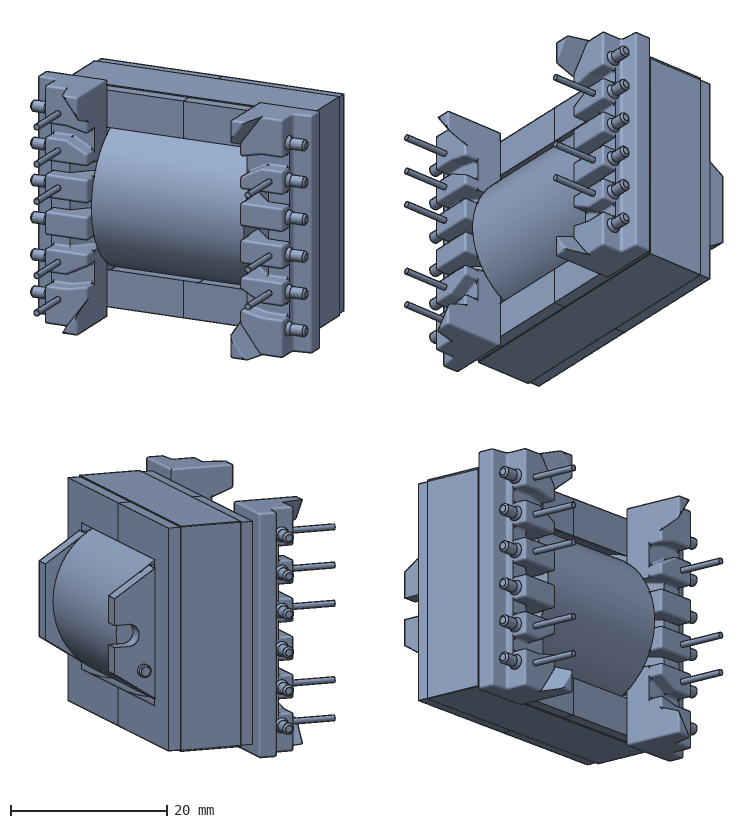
import cadquery as cq

CORE_HALF_LENGTH = 17.25
CORE_HALF_DEPTH = 5.8
CORE_HALF_WIDTH = 14.6
WINDOW_HALF_LENGTH = 12.5
WINDOW_RADIUS = 11.2
CENTRE_LEG_RADIUS = 4.95

TAPE_THICKNESS = 0.15
TAPE_HALF_DEPTH = 4.15

WINDING_HALF_LENGTH = 10.85
WINDING_RADIUS = 10.45
TUBE_RADIUS = CENTRE_LEG_RADIUS + 1.0

CHEEK_THICKNESS = 1.35
REAR_CHEEK_THICKNESS = 2.1
REAR_CHEEK_START = 5.93
REAR_CHEEK_END = 11.5
CHEEK_HALF_WIDTH = 8.55
REAR_CHEEK_END_HALF_WIDTH = 4.95
SLOT_RADIUS = 1.45
SLOT_CENTRE_Y = 9.55
STUD_Y = 7.53
STUD_Z = -4.7
STUD_RADIUS = 0.8
STUD_LENGTH = 0.85
STUD_CHAMFER = 0.2

RAIL_BACK_Y = -5.85
LIP_X = 19.5
LIP_EDGE_Y = -8.25
LIP_ROOT_Y = -8.58
LIP_ROOT_FILLET = 0.4
WALL_X = 16.93
FLOOR_Y = -9.55
BLOCK_Y = -11.62
RAIL_HALF_WIDTH = 16.01
EDGE_FILLET = 0.3
EDGE_TOLERANCE = 0.005

PITCH = 5.0
ROWS = 6
BLOCK_HALF_WIDTH = 1.55
KINK_X = 13.9
NOTCH_WIDTH = PITCH - 2 * BLOCK_HALF_WIDTH
END_BLOCK_SLANT = 0.65
NEXT_BLOCK_SLANT = 1.55
RAMP_END_Y = -6.25
RAMP_START_LEFT = 14.3
RAMP_START_RIGHT = 13.9
NOTCH_ROOT_FILLET = 0.27

FOOT_Y = -14.5
FOOT_BASE_X = 3.0
FOOT_BASE_Z = 4.0
FOOT_TIP_RATIO = 0.74

PIN_X = 15.0
PIN_RADIUS = 0.4
PIN_END_Y = -17.98
PIN_ROWS_LEFT = (0, 1, 2, 4, 5)
PIN_ROWS_RIGHT = (1, 3, 4)
POST_Y = -9.95
POST_RADIUS = 0.75
POST_CHAMFER = 0.27
POST_ROOT_RADIUS = 0.98
POST_ROOT_LENGTH = 0.55


def row_z(row):
    return ((ROWS - 1) / 2 - row) * PITCH


def box(x0, x1, y0, y1, z0, z1):
    return cq.Workplane("XY").box(x1 - x0, y1 - y0, z1 - z0, centered=False).translate((x0, y0, z0))


def rod_x(radius, x0, x1, y=0, z=0):
    return cq.Workplane("YZ", origin=(x0, y, z)).circle(radius).extrude(x1 - x0)


def prism_y(points_xz, y0, y1):
    """Prism along Y from y0 forward to y1, with its outline given as (x, z)."""
    return cq.Workplane("XZ", origin=(0, y0, 0)).polyline(points_xz).close().extrude(y0 - y1)


def make_core_half(side):
    """E-core half with a round centre leg; side is -1 or 1 along X."""
    body = box(0, CORE_HALF_LENGTH, -CORE_HALF_DEPTH, CORE_HALF_DEPTH, -CORE_HALF_WIDTH, CORE_HALF_WIDTH)
    window = rod_x(WINDOW_RADIUS, 0, WINDOW_HALF_LENGTH)
    leg = rod_x(CENTRE_LEG_RADIUS, 0, WINDOW_HALF_LENGTH)
    half = body.cut(window.cut(leg))
    return half if side > 0 else half.mirror("YZ")


def make_tape():
    inner_x, inner_z = CORE_HALF_LENGTH, CORE_HALF_WIDTH
    outer_x, outer_z = inner_x + TAPE_THICKNESS, inner_z + TAPE_THICKNESS
    y = TAPE_HALF_DEPTH
    outer = box(-outer_x, outer_x, -y, y, -outer_z, outer_z)
    return outer.cut(box(-inner_x, inner_x, -y, y, -inner_z, inner_z))


def make_winding():
    winding = rod_x(WINDING_RADIUS, -WINDING_HALF_LENGTH, WINDING_HALF_LENGTH)
    return winding.cut(rod_x(TUBE_RADIUS, -WINDING_HALF_LENGTH, WINDING_HALF_LENGTH))



def make_cheek():
    """Flange plate in the core window, widening behind the core to a trapezoid."""
    x1 = -WINDING_HALF_LENGTH
    w = CHEEK_HALF_WIDTH
    plate = box(x1 - CHEEK_THICKNESS, x1, RAIL_BACK_Y, REAR_CHEEK_START, -w, w)
    end_w = REAR_CHEEK_END_HALF_WIDTH
    outline = [(REAR_CHEEK_START, -w), (REAR_CHEEK_END, -end_w), (REAR_CHEEK_END, end_w), (REAR_CHEEK_START, w)]
    rear = (
        cq.Workplane("YZ", origin=(x1 - REAR_CHEEK_THICKNESS, 0, 0))
        .polyline(outline).close().extrude(REAR_CHEEK_THICKNESS)
    )
    return plate.union(rear)


def make_slot():
    """U-shaped slot through the rear cheek, open at its end."""
    x1 = -WINDING_HALF_LENGTH
    x0 = x1 - REAR_CHEEK_THICKNESS
    slot = box(x0, x1, SLOT_CENTRE_Y, REAR_CHEEK_END, -SLOT_RADIUS, SLOT_RADIUS)
    return slot.union(rod_x(SLOT_RADIUS, x0, x1, SLOT_CENTRE_Y))


def make_stud():
    x1 = -WINDING_HALF_LENGTH - REAR_CHEEK_THICKNESS
    return rod_x(STUD_RADIUS, x1 - STUD_LENGTH, x1, STUD_Y, STUD_Z).faces("<X").chamfer(STUD_CHAMFER)


def make_rail():
    """Bar with the outer lip, up to the bottom of the wire notches."""
    inner_x = -WINDING_HALF_LENGTH
    outline = [
        (inner_x, RAIL_BACK_Y), (-LIP_X, RAIL_BACK_Y), (-LIP_X, LIP_EDGE_Y),
        (-WALL_X, LIP_ROOT_Y), (-WALL_X, FLOOR_Y), (inner_x, FLOOR_Y),
    ]
    rail = (
        cq.Workplane("XY", origin=(0, 0, -RAIL_HALF_WIDTH))
        .polyline(outline).close().extrude(2 * RAIL_HALF_WIDTH)
    )
    root = cq.selectors.NearestToPointSelector((-WALL_X, LIP_ROOT_Y, 0))
    rail = rail.edges("|Z").edges(root).fillet(LIP_ROOT_FILLET)
    rail = rail.edges("|Z").edges("<X").fillet(EDGE_FILLET)
    end_edges = rail.faces("<Z or >Z").edges().filter(
        lambda edge: FLOOR_Y < edge.Center().y < RAIL_BACK_Y
    )
    return end_edges.fillet(EDGE_FILLET)


def make_ramp_notch(row, ramp_start, depth_above_floor):
    """Wire notch below a row, sloping down to the inner face of the rail."""
    inner_x = -WINDING_HALF_LENGTH
    top_y = FLOOR_Y - depth_above_floor
    outline = [
        (-WALL_X, FLOOR_Y), (-ramp_start, FLOOR_Y), (inner_x, RAMP_END_Y), (inner_x, top_y), (-WALL_X, top_y),
    ]
    top_z = row_z(row) - BLOCK_HALF_WIDTH
    return cq.Workplane("XY", origin=(0, 0, top_z)).polyline(outline).close().extrude(-NOTCH_WIDTH)


def make_end_notch():
    """Bottom of the funnel-shaped notch between the end block and the next one."""
    inner_x = -WINDING_HALF_LENGTH
    top_z = row_z(0) - BLOCK_HALF_WIDTH
    bottom_z = top_z - NOTCH_WIDTH
    outline = [
        (-WALL_X, top_z), (-KINK_X, top_z), (inner_x, top_z - END_BLOCK_SLANT),
        (inner_x, bottom_z - NEXT_BLOCK_SLANT), (-KINK_X, bottom_z), (-WALL_X, bottom_z),
    ]
    return prism_y(outline, FLOOR_Y, FLOOR_Y - NOTCH_ROOT_FILLET * 2)


def notch_bottom_limits():
    """Space just above the notch floors, clear of the rounded block corners."""
    x0 = -WALL_X + EDGE_FILLET
    x1 = -WINDING_HALF_LENGTH - EDGE_FILLET
    return box(x0, x1, FLOOR_Y - NOTCH_ROOT_FILLET, FLOOR_Y, 0, RAIL_HALF_WIDTH)


def make_end_notch_roots():
    """Concave strips along both sides of the end notch."""
    notch = make_end_notch()
    sides = notch.faces(">Y").edges().filter(lambda edge: -WALL_X < edge.Center().x < -WINDING_HALF_LENGTH)
    return notch.cut(sides.fillet(NOTCH_ROOT_FILLET)).intersect(notch_bottom_limits())


def make_middle_block(row):
    z = row_z(row)
    inner_x, w = -WINDING_HALF_LENGTH, BLOCK_HALF_WIDTH
    outline = [(-WALL_X, z - w), (-WALL_X, z + w), (inner_x, z + w), (inner_x, z - w)]
    return round_block(prism_y(outline, FLOOR_Y, BLOCK_Y))


def make_second_block():
    """Block next to the end block, its upper side slanting away from the notch."""
    z = row_z(1)
    inner_x, w = -WINDING_HALF_LENGTH, BLOCK_HALF_WIDTH
    outline = [
        (-WALL_X, z - w), (-WALL_X, z + w), (-KINK_X, z + w),
        (inner_x, z + w - NEXT_BLOCK_SLANT), (inner_x, z - w),
    ]
    return round_block(prism_y(outline, FLOOR_Y, BLOCK_Y))


def make_end_block():
    """Block at the +Z end, with the three-sided foot on its inner corner."""
    side_z = row_z(0) - BLOCK_HALF_WIDTH
    inner_x = -WINDING_HALF_LENGTH
    outline = [
        (-WALL_X, side_z), (-WALL_X, RAIL_HALF_WIDTH), (inner_x, RAIL_HALF_WIDTH),
        (inner_x, side_z - END_BLOCK_SLANT), (-KINK_X, side_z),
    ]
    block = prism_y(outline, FLOOR_Y, BLOCK_Y)

    def foot_outline(ratio):
        return [
            (inner_x, RAIL_HALF_WIDTH),
            (inner_x - ratio * FOOT_BASE_X, RAIL_HALF_WIDTH),
            (inner_x, RAIL_HALF_WIDTH - ratio * FOOT_BASE_Z),
        ]

    foot = (
        cq.Workplane("XZ", origin=(0, BLOCK_Y, 0))
        .polyline(foot_outline(1)).close()
        .workplane(offset=BLOCK_Y - FOOT_Y)
        .polyline(foot_outline(FOOT_TIP_RATIO)).close()
        .loft(combine=True)
    )
    block = block.union(foot).clean()
    slant_middle = (inner_x - FOOT_BASE_X / 2, (BLOCK_Y + FOOT_Y) / 2, RAIL_HALF_WIDTH - FOOT_BASE_Z / 2)
    slant = block.faces(cq.selectors.NearestToPointSelector(slant_middle))
    sharp_edges = slant.edges().filter(lambda edge: edge.Center().y > FOOT_Y + EDGE_TOLERANCE).vals()
    return round_block(block, sharp_edges)


def round_block(block, sharp_edges=()):
    """Round the edges of a block, leaving its base and the given edges sharp."""
    def is_free(edge):
        on_base = edge.Center().y > FLOOR_Y - EDGE_TOLERANCE
        return not on_base and not any(edge.isSame(sharp) for sharp in sharp_edges)

    return block.edges().filter(is_free).fillet(EDGE_FILLET)


def make_post(row):
    """Stub terminal on the outer wall, with a conical root."""
    x1 = -WALL_X
    z = row_z(row)
    post = rod_x(POST_RADIUS, -LIP_X, x1, POST_Y, z).faces("<X").chamfer(POST_CHAMFER)
    root = (
        cq.Workplane("YZ", origin=(x1 - POST_ROOT_LENGTH, POST_Y, z)).circle(POST_RADIUS)
        .workplane(offset=POST_ROOT_LENGTH).circle(POST_ROOT_RADIUS).loft(combine=True)
    )
    return post.union(root)


def make_pin(row):
    return (
        cq.Workplane("XZ", origin=(-PIN_X, BLOCK_Y, row_z(row)))
        .circle(PIN_RADIUS).extrude(BLOCK_Y - PIN_END_Y)
    )


def cut_ramp_notches(rail, ramp_start):
    """Cut the three ramped notches; the outer two keep a concave strip beside the second blocks."""
    middle = make_ramp_notch(2, ramp_start, 2 * NOTCH_ROOT_FILLET)
    outer = make_ramp_notch(1, ramp_start, 2 * NOTCH_ROOT_FILLET)
    floor_edges = outer.faces(">Z").edges().filter(
        lambda edge: edge.Center().y > FLOOR_Y - EDGE_TOLERANCE and edge.Center().x < -WINDING_HALF_LENGTH
    )
    rounded = floor_edges.fillet(NOTCH_ROOT_FILLET)
    root = outer.cut(rounded).intersect(notch_bottom_limits())
    rail = rail.cut(middle)
    for notch, strip in ((rounded, root), (rounded.mirror("XY"), root.mirror("XY"))):
        rail = rail.cut(notch).union(strip)
    return rail


def make_flange(pin_rows, ramp_start):
    end_roots = make_end_notch_roots()
    flange = cut_ramp_notches(make_rail(), ramp_start).union(end_roots).union(end_roots.mirror("XY"))
    flange = flange.union(make_cheek())
    for block in (make_end_block(), make_second_block(), make_middle_block(2)):
        flange = flange.union(block).union(block.mirror("XY"))
    for row in range(ROWS):
        flange = flange.union(make_post(row))
    for row in pin_rows:
        flange = flange.union(make_pin(row))
    return flange


def make_bobbin():
    left = make_flange(PIN_ROWS_LEFT, RAMP_START_LEFT).cut(make_slot()).union(make_stud())
    right = make_flange(PIN_ROWS_RIGHT, RAMP_START_RIGHT).mirror("YZ")
    half_length = WINDING_HALF_LENGTH + CHEEK_THICKNESS
    tube = rod_x(TUBE_RADIUS, -half_length, half_length)
    bore = rod_x(CENTRE_LEG_RADIUS, -half_length, half_length)
    return left.union(tube).union(right).cut(bore)


core_left = make_core_half(-1)
core_right = make_core_half(1)
tape = make_tape()
winding = make_winding()
bobbin = make_bobbin()

result = cq.Compound.makeCompound(
    [core_left.val(), core_right.val(), tape.val(), winding.val(), bobbin.val()]
)